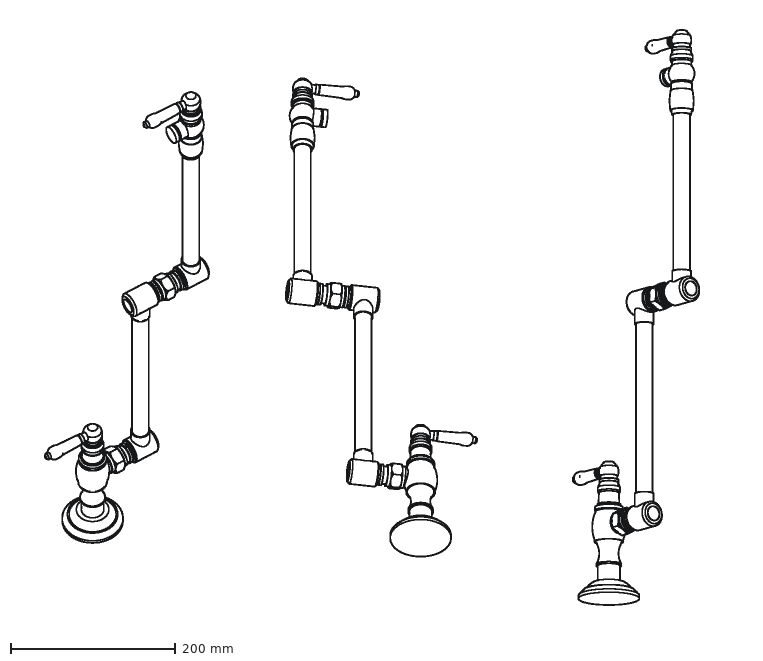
import cadquery as cq

total_height = 683.0
valve_height = 170.0
lower_arm_height = 91.0
upper_arm_height = 358.5
lower_pipe_y = 71.0
upper_pipe_y = 146.0
pipe_radius = 10.0
upper_valve_rise = total_height - valve_height

flange_radius = 74.5 / 2
flange_edge = 4.0
flange_step = 11.0
flange_top = 20.0
flange_top_radius = 20.0
post_radius = 13.5
post_top = 41.0
post_ring_radius = 31.0 / 2
post_ring_top = 43.0
waist_radius = 24.0 / 2
waist_height = 57.5
waist_top = 71.0
bulb_ring_radius = 18.0
bulb_ring_top = 74.0
bulb_radius = 20.5
bulb_top = 108.5
bulb_top_radius = 16.5
neck_ring_base = 110.0
neck_ring_radius = 17.0
neck_ring_top = 114.0
shoulder_radius = 14.0
shoulder_base = 115.5
shoulder_top = 117.5
neck_base_radius = 13.0
neck_top_radius = 12.0

collar_base = 132.0
collar_base_radius = 13.0
collar_radius = 13.5
collar_edge = 2.0
collar_top = 138.5
bead_radius = 24.0 / 2
bead_base = 145.0
bead_top = 148.0
stem_radius = 10.0
cap_base = 153.0
cap_radius = 24.0 / 2
cap_rim_radius = 11.0
cap_middle = 158.5
cap_shoulder = 164.0
cap_top_radius = 6.0

lever_height = 160.0
lever_reach = 69.5
hub_radius = 5.5
lever_ring_radius = 6.0
lever_ring_start = 16.0
lever_ring_end = 20.0
grip_start = 20.5
grip_start_radius = 6.5
grip_end = 49.0
grip_end_radius = 14.0 / 2
knob_radius = 8.0
knob_end = 57.0
tip_radius = 4.0
tip_start = 64.0
tip_shoulder = 67.5
tip_end_radius = 2.0

spout_base = 578.0
spout_base_radius = 11.5
spout_top = collar_base + upper_valve_rise
socket_base = 584.0
socket_base_radius = 28.0 / 2
socket_radius = 15.0
socket_middle = 596.0
socket_top = 608.0
socket_top_radius = 13.5
spout_ring_radius = 13.0
spout_ring_top = 617.0
spout_neck_radius = 24.0 / 2
ball_radius = 32.0 / 2
ball_half_height = 10.0
outlet_height = 629.5
outlet_radius = 11.0
outlet_reach = 29.5
groove_start = 22.0
groove_end = 24.0
groove_radius = 9.5

barrel_radius = 31.0 / 2
barrel_front = 17.0
barrel_front_bevel = 1.5
barrel_back = 19.0
barrel_edge = 3.0
button_radius = 9.0
button_height = 1.0
sleeve_radius = 11.5
long_sleeve = 28.0
short_sleeve = 24.5
spindle_radius = 11.0
nut_offset = 39.5
nut_length = 13.5
nut_corner_radius = 33.5 / 2
nut_bevel = 2.0
nut_flange_length = 22.0
nut_flange_radius = 26.5 / 2
washer_start = 20.0
washer_end = 23.0
washer_radius = 13.0


def turned(outline):
    """Close a half outline and turn it about its local vertical axis."""
    return outline.close().revolve(360, (0, 0, 0), (0, 1, 0))


def cylinder_z(radius, bottom, top, y):
    """Vertical cylinder between two heights."""
    return cq.Workplane("XY", origin=(0, y, bottom)).circle(radius).extrude(top - bottom)


def cylinder_y(radius, start, end, height):
    """Cylinder along Y between two Y positions."""
    return cq.Workplane("XZ", origin=(0, end, height)).circle(radius).extrude(end - start)


def make_flange():
    """Stepped plate under the body."""
    return turned(
        cq.Workplane("XZ")
        .lineTo(flange_radius, 0)
        .lineTo(flange_radius, flange_edge)
        .lineTo(31.0, flange_step)
        .lineTo(29.0, flange_step)
        .threePointArc((24.5, 16.5), (flange_top_radius, flange_top))
        .lineTo(0, flange_top)
    )


def make_body():
    """Turned body: post, waist, bulb, shoulder and tapered neck."""
    return turned(
        cq.Workplane("XZ")
        .lineTo(post_radius, 0)
        .lineTo(post_radius, post_top)
        .lineTo(post_ring_radius, post_top)
        .lineTo(post_ring_radius, post_ring_top)
        .threePointArc((waist_radius, waist_height), (bulb_top_radius, waist_top))
        .lineTo(bulb_ring_radius, waist_top)
        .lineTo(bulb_ring_radius, bulb_ring_top)
        .threePointArc((bulb_radius, lower_arm_height), (bulb_top_radius, bulb_top))
        .lineTo(bulb_top_radius, neck_ring_base)
        .lineTo(neck_ring_radius, neck_ring_base)
        .lineTo(neck_ring_radius, neck_ring_top)
        .lineTo(shoulder_radius, shoulder_base)
        .lineTo(shoulder_radius, shoulder_top)
        .lineTo(neck_base_radius, shoulder_top)
        .lineTo(neck_top_radius, collar_base)
        .lineTo(0, collar_base)
    )


def make_bonnet():
    """Collar, bead, stem and bevelled cap above the valve body."""
    return turned(
        cq.Workplane("XZ")
        .moveTo(0, collar_base)
        .lineTo(collar_base_radius, collar_base)
        .lineTo(collar_radius, collar_base + collar_edge)
        .lineTo(collar_radius, collar_top)
        .threePointArc((12.0, 142.0), (cap_rim_radius, bead_base))
        .lineTo(bead_radius, bead_base)
        .lineTo(bead_radius, bead_top)
        .lineTo(stem_radius, bead_top)
        .lineTo(stem_radius, cap_base)
        .lineTo(cap_rim_radius, cap_base)
        .threePointArc((cap_radius, cap_middle), (cap_rim_radius, cap_shoulder))
        .lineTo(cap_top_radius, valve_height)
        .lineTo(0, valve_height)
    )


def make_lever():
    """Turned lever handle pointing to -Y."""
    return turned(
        cq.Workplane("XY", origin=(0, 0, lever_height))
        .lineTo(hub_radius, 0)
        .lineTo(hub_radius, -lever_ring_start)
        .lineTo(lever_ring_radius, -lever_ring_start)
        .lineTo(lever_ring_radius, -lever_ring_end)
        .lineTo(hub_radius, -lever_ring_end)
        .lineTo(grip_start_radius, -grip_start)
        .lineTo(grip_end_radius, -grip_end)
        .threePointArc((knob_radius, -52.5), (knob_radius, -knob_end))
        .threePointArc((7.5, -61.0), (tip_radius, -tip_start))
        .lineTo(tip_radius, -tip_shoulder)
        .lineTo(tip_end_radius, -lever_reach)
        .lineTo(0, -lever_reach)
    )


def make_spout():
    """Upper valve body: rounded pipe socket, ball and grooved outlet toward -Y."""
    ball_top = outlet_height + ball_half_height
    column = turned(
        cq.Workplane("XZ")
        .moveTo(0, spout_base)
        .lineTo(spout_base_radius, spout_base)
        .lineTo(spout_ring_radius, socket_base)
        .lineTo(socket_base_radius, socket_base)
        .threePointArc((socket_radius, socket_middle), (socket_top_radius, socket_top))
        .lineTo(spout_ring_radius, socket_top)
        .lineTo(spout_ring_radius, spout_ring_top)
        .lineTo(spout_neck_radius, spout_ring_top)
        .lineTo(spout_neck_radius, outlet_height - ball_half_height)
        .threePointArc((ball_radius, outlet_height), (spout_neck_radius, ball_top))
        .lineTo(spout_neck_radius, spout_top)
        .lineTo(0, spout_top)
    )
    outlet = turned(
        cq.Workplane("XY", origin=(0, 0, outlet_height))
        .lineTo(outlet_radius, 0)
        .lineTo(outlet_radius, -groove_start)
        .lineTo(groove_radius, -groove_start)
        .lineTo(groove_radius, -groove_end)
        .lineTo(outlet_radius, -groove_end)
        .lineTo(outlet_radius, -outlet_reach)
        .lineTo(0, -outlet_reach)
    )
    return column.union(outlet).translate((0, upper_pipe_y, 0))


def make_barrel(y, height, turn_angle):
    """Swivel barrel and its washer; the closed end faces +Y before turning about Z."""
    rim = barrel_back - button_height
    barrel = turned(
        cq.Workplane("XY")
        .moveTo(0, -barrel_front)
        .lineTo(barrel_radius - barrel_front_bevel, -barrel_front)
        .lineTo(barrel_radius, barrel_front_bevel - barrel_front)
        .lineTo(barrel_radius, rim - barrel_edge)
        .lineTo(barrel_radius - barrel_edge, rim)
        .lineTo(button_radius, rim)
        .lineTo(button_radius, barrel_back)
        .lineTo(0, barrel_back)
    )
    washer = cylinder_y(washer_radius, -washer_end, -washer_start, 0)
    joint = barrel.union(washer)
    return joint.rotate((0, 0, 0), (0, 0, 1), turn_angle).translate((0, y, height))


def make_nut(y, height):
    """Hexagon nut with bevelled corners, vertices up and down, on a round collar."""
    start = y - nut_length / 2
    end = y + nut_length / 2
    hexagon = (
        cq.Workplane("XZ", origin=(0, end, height))
        .polygon(6, 2 * nut_corner_radius)
        .extrude(nut_length)
        .rotate((0, 0, height), (0, 1, height), 30)
    )
    blank = cylinder_y(nut_corner_radius, start, end, height).faces("<Y or >Y").chamfer(nut_bevel)
    collar_start = y - nut_flange_length / 2
    collar = cylinder_y(nut_flange_radius, collar_start, collar_start + nut_flange_length, height)
    return hexagon.intersect(blank).union(collar)


def make_arm(pipe_y, height, sleeve_length, inner_y):
    """Swivel arm under a riser pipe, with its spindle running toward -Y to inner_y."""
    barrel = make_barrel(pipe_y, height, 0)
    sleeve = cylinder_z(sleeve_radius, height, height + sleeve_length, pipe_y)
    spindle = cylinder_y(spindle_radius, inner_y, pipe_y, height)
    nut = make_nut(pipe_y - nut_offset, height)
    return barrel.union(sleeve).union(spindle).union(nut)


valve = make_bonnet().union(make_lever())
result = make_flange().union(make_body()).union(valve)
result = result.union(make_spout())
result = result.union(valve.translate((0, upper_pipe_y, upper_valve_rise)))

result = result.union(cylinder_z(pipe_radius, lower_arm_height, upper_arm_height, lower_pipe_y))
result = result.union(cylinder_z(pipe_radius, upper_arm_height, spout_base, upper_pipe_y))

result = result.union(make_arm(lower_pipe_y, lower_arm_height, long_sleeve, 0))
result = result.union(make_arm(upper_pipe_y, upper_arm_height, short_sleeve, lower_pipe_y))

sleeve_bottom = upper_arm_height - long_sleeve
result = result.union(make_barrel(lower_pipe_y, upper_arm_height, 180))
result = result.union(cylinder_z(sleeve_radius, sleeve_bottom, upper_arm_height, lower_pipe_y))